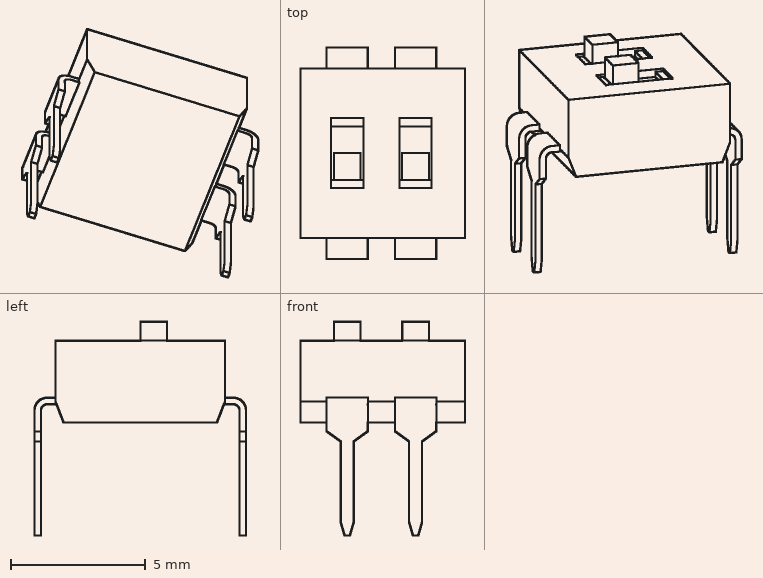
import cadquery as cq


pitch = 2.54
row_spacing = 7.62
station_xs = [-pitch / 2, pitch / 2]

body_width = 6.12
body_length = 6.3
body_height = 3.05
body_offset_x = 0.05
undercut_height = 0.78
undercut_inset = 0.3

slot_width = 1.2
slot_length = 2.6
ledge_depth = 0.1
well_length = 2.0
well_depth = 0.3

knob_size = 1.0
knob_projection = 0.7

pin_thickness = 0.25
pin_top = 0.93
bend_outer_radius = 0.48
bend_inner_radius = bend_outer_radius - pin_thickness
pin_embed = 0.5
blade_width = 1.54
stem_width = 0.49
tip_width = 0.2
shoulder_top = -0.32
shoulder_bottom = -0.7
tip_start = -3.7
pin_bottom = -4.2


def make_body():
    half_length = body_length / 2
    foot = half_length - undercut_inset
    profile = [
        (-foot, 0),
        (foot, 0),
        (half_length, undercut_height),
        (half_length, body_height),
        (-half_length, body_height),
        (-half_length, undercut_height),
    ]
    start_x = body_offset_x - body_width / 2
    return cq.Workplane("YZ", origin=(start_x, 0, 0)).polyline(profile).close().extrude(body_width)


def make_slot(x):
    top = cq.Workplane("XY", origin=(x, 0, body_height))
    recess = top.rect(slot_width, slot_length).extrude(-ledge_depth)
    well = top.rect(slot_width, well_length).extrude(-well_depth)
    return recess.union(well)


def make_knob(x):
    knob_y = (knob_size - well_length) / 2
    floor = cq.Workplane("XY", origin=(x, knob_y, body_height - well_depth))
    return floor.rect(knob_size, knob_size).extrude(well_depth + knob_projection)


def make_pin(x):
    """Pin on the +Y side at the given X."""
    outer_y = (row_spacing + pin_thickness) / 2
    inner_y = outer_y - pin_thickness
    bend_y = outer_y - bend_outer_radius
    bend_z = pin_top - bend_outer_radius
    root_y = body_length / 2 - pin_embed

    strip = (
        cq.Workplane("YZ", origin=(x - blade_width / 2, 0, 0))
        .moveTo(root_y, pin_top)
        .lineTo(bend_y, pin_top)
        .radiusArc((outer_y, bend_z), bend_outer_radius)
        .lineTo(outer_y, pin_bottom)
        .lineTo(inner_y, pin_bottom)
        .lineTo(inner_y, bend_z)
        .radiusArc((bend_y, pin_top - pin_thickness), -bend_inner_radius)
        .lineTo(root_y, pin_top - pin_thickness)
        .close()
        .extrude(blade_width)
    )

    right_edge = [
        (blade_width / 2, pin_top),
        (blade_width / 2, shoulder_top),
        (stem_width / 2, shoulder_bottom),
        (stem_width / 2, tip_start),
        (tip_width / 2, pin_bottom),
    ]
    left_edge = [(-edge_x, edge_z) for edge_x, edge_z in reversed(right_edge)]
    silhouette = (
        cq.Workplane("XZ", origin=(x, 0, 0))
        .polyline(right_edge + left_edge)
        .close()
        .extrude(-outer_y)
    )
    return strip.intersect(silhouette)


result = make_body()
for station_x in station_xs:
    result = result.cut(make_slot(station_x)).union(make_knob(station_x))
    pin = make_pin(station_x)
    result = result.union(pin).union(pin.mirror("XZ"))